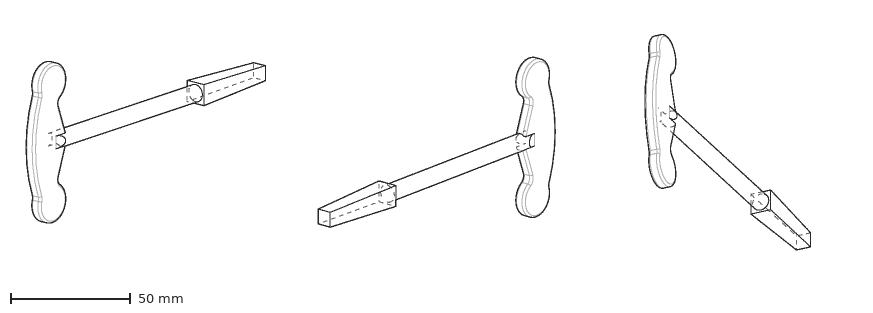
import cadquery as cq
import math

total_length = 146.7
handle_span = 69.5

plate_thickness = 5.0
ball_radius = 8.7
ball_center_y = 12.3
ball_center_z = handle_span / 2 - ball_radius
back_radius = 61.6
front_peak_y = 21.7
front_slope = 0.36
neck_fillet = 3.0
edge_fillet = 1.0

shaft_diameter = 7.5
shaft_start_y = 14.0
runout_radius = 10.0

tip_length = 40.8
tip_large_side = 9.2
tip_small_side = 6.6
tip_start_y = total_length - tip_length


def plate_extrusion(outline):
    """Extrude an outline drawn in the YZ plane to the plate thickness, centred on X = 0."""
    return outline.extrude(plate_thickness / 2, both=True)


def make_handle():
    back_y = back_radius - math.sqrt(back_radius**2 - ball_center_z**2)
    front_y = front_peak_y - front_slope * ball_center_z
    body = plate_extrusion(
        cq.Workplane("YZ")
        .moveTo(back_y, -ball_center_z)
        .threePointArc((0, 0), (back_y, ball_center_z))
        .lineTo(front_y, ball_center_z)
        .lineTo(front_peak_y, 0)
        .lineTo(front_y, -ball_center_z)
        .close()
    )
    ball_centers = [(ball_center_y, -ball_center_z), (ball_center_y, ball_center_z)]
    balls = plate_extrusion(cq.Workplane("YZ").pushPoints(ball_centers).circle(ball_radius))
    handle = body.union(balls)

    handle = handle.edges("|X").edges("not >Y").fillet(neck_fillet)
    return handle.faces("<X or >X").edges().fillet(edge_fillet)


def make_shaft():
    shaft = (
        cq.Workplane("XZ", origin=(0, shaft_start_y, 0))
        .circle(shaft_diameter / 2)
        .extrude(shaft_start_y - tip_start_y)
    )
    arc_center_x = plate_thickness / 2 + runout_radius
    cutters = (
        cq.Workplane("XY", origin=(0, 0, -shaft_diameter / 2))
        .pushPoints([(-arc_center_x, shaft_start_y), (arc_center_x, shaft_start_y)])
        .circle(runout_radius)
        .extrude(shaft_diameter)
    )
    return shaft.cut(cutters)


def make_tip():
    return (
        cq.Workplane("XZ", origin=(0, tip_start_y, 0))
        .rect(tip_large_side, tip_large_side)
        .workplane(offset=-tip_length)
        .rect(tip_small_side, tip_small_side)
        .loft(ruled=True)
    )


result = make_handle().union(make_shaft()).union(make_tip())